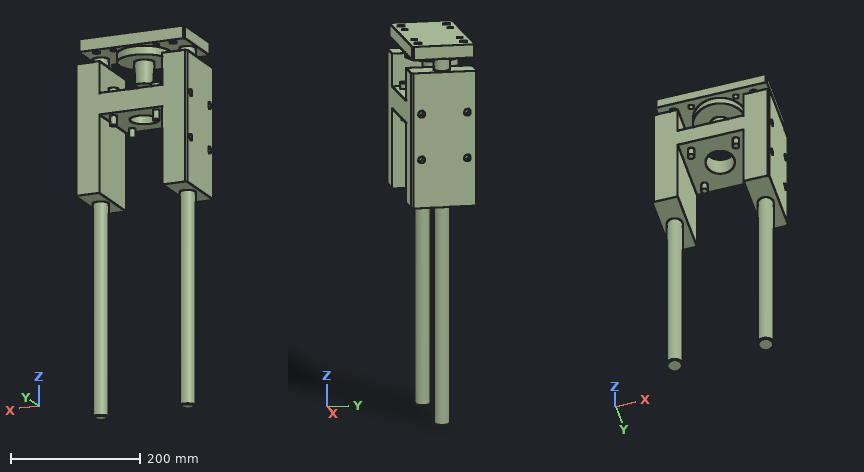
import cadquery as cq

TOP = 602.0

PATTERN_SPACING = 72.0

PLATE_X = 180.0
PLATE_Y = 100.0
PLATE_THICKNESS = 21.0
PLATE_CHAMFER = 2.5
PLATE_BOTTOM = TOP - PLATE_THICKNESS

OUTER_HOLE_SPACING = 129.5
OUTER_HOLE_DIAMETER = 11.0
INNER_HOLE_DIAMETER = 8.5

ROD_DIAMETER = 25.0
ROD_SPACING = 147.0
ROD_CHAMFER = 1.0
ROD_POSITIONS = (-ROD_SPACING / 2, ROD_SPACING / 2)

FLANGE_DIAMETER = 85.0
FLANGE_THICKNESS = 14.0
SPIGOT_DIAMETER = 32.0
SPIGOT_LENGTH = 38.0
TIP_DIAMETER = 28.0

HOUSING_X = 189.0
HOUSING_Y = 105.0
HOUSING_HEIGHT = 214.0
PLATE_TO_HOUSING = 20.0
HOUSING_CHAMFER = 3.0
HOUSING_TOP = PLATE_BOTTOM - PLATE_TO_HOUSING
HOUSING_BOTTOM = HOUSING_TOP - HOUSING_HEIGHT
LEG_GAP = 106.0
WEB_DEPTH = 52.0
WEB_THICKNESS = 35.0
WEB_TOP = HOUSING_TOP - WEB_DEPTH
WEB_BOTTOM = WEB_TOP - WEB_THICKNESS
WEB_BORE_DIAMETER = 45.0

HEAD_DIAMETER = 15.0
HEAD_HEIGHT = 9.0
SHANK_DIAMETER = 10.0
SHANK_LENGTH = 15.0

SIDE_HOLE_DIAMETER = 10.0
SIDE_HOLE_DEPTH = 15.0
SIDE_HOLE_TIP = 3.0
SIDE_PATTERN_DEPTH = 101.0
SIDE_PATTERN_Z = HOUSING_TOP - SIDE_PATTERN_DEPTH


def corners(x_spacing, y_spacing):
    return [(sx * x_spacing / 2, sy * y_spacing / 2) for sx in (-1, 1) for sy in (-1, 1)]


def cylinder(x, y, bottom, height, diameter):
    return cq.Workplane("XY", origin=(x, y, bottom)).circle(diameter / 2).extrude(height)


def chamfered_block(size_x, size_y, bottom, height, chamfer):
    block = cq.Workplane("XY", origin=(0, 0, bottom)).rect(size_x, size_y).extrude(height)
    return block.edges("|Z").chamfer(chamfer)


def make_coupling():
    """Flange and slightly tapered spigot, turned about Z."""
    flange_bottom = PLATE_BOTTOM - FLANGE_THICKNESS
    tip_bottom = flange_bottom - SPIGOT_LENGTH
    profile = cq.Workplane("XZ").polyline([
        (0, PLATE_BOTTOM),
        (FLANGE_DIAMETER / 2, PLATE_BOTTOM),
        (FLANGE_DIAMETER / 2, flange_bottom),
        (SPIGOT_DIAMETER / 2, flange_bottom),
        (TIP_DIAMETER / 2, tip_bottom),
        (0, tip_bottom),
    ]).close()
    return profile.revolve(360, (0, 0, 0), (0, 1, 0))


def make_carriage():
    body = chamfered_block(PLATE_X, PLATE_Y, PLATE_BOTTOM, PLATE_THICKNESS, PLATE_CHAMFER)
    for spacing, diameter in (
        (OUTER_HOLE_SPACING, OUTER_HOLE_DIAMETER),
        (PATTERN_SPACING, INNER_HOLE_DIAMETER),
    ):
        for x, y in corners(spacing, PATTERN_SPACING):
            body = body.cut(cylinder(x, y, PLATE_BOTTOM, PLATE_THICKNESS, diameter))

    for x in ROD_POSITIONS:
        rod = cylinder(x, 0, 0, PLATE_BOTTOM, ROD_DIAMETER).faces("<Z").chamfer(ROD_CHAMFER)
        body = body.union(rod)

    return body.union(make_coupling())


def side_hole(side, y, z):
    """Blind drilled hole with a conical end, entering the face at X = side * HOUSING_X / 2."""
    radius = SIDE_HOLE_DIAMETER / 2
    profile = cq.Workplane("XY").polyline([
        (0, 0),
        (0, radius),
        (SIDE_HOLE_DEPTH, radius),
        (SIDE_HOLE_DEPTH + SIDE_HOLE_TIP, 0),
    ]).close()
    drill = profile.revolve(360, (0, 0, 0), (1, 0, 0))
    if side > 0:
        drill = drill.rotate((0, 0, 0), (0, 0, 1), 180)
    return drill.translate((side * HOUSING_X / 2, y, z))


def make_housing():
    body = chamfered_block(HOUSING_X, HOUSING_Y, HOUSING_BOTTOM, HOUSING_HEIGHT, HOUSING_CHAMFER)

    for bottom, top in ((HOUSING_BOTTOM, WEB_BOTTOM), (WEB_TOP, HOUSING_TOP)):
        opening = cq.Workplane("XY", origin=(0, 0, bottom)).rect(LEG_GAP, HOUSING_Y).extrude(top - bottom)
        body = body.cut(opening)

    body = body.cut(cylinder(0, 0, WEB_BOTTOM, WEB_THICKNESS, WEB_BORE_DIAMETER))

    for x in ROD_POSITIONS:
        body = body.cut(cylinder(x, 0, HOUSING_BOTTOM, HOUSING_HEIGHT, ROD_DIAMETER))

    for side in (-1, 1):
        for y, dz in corners(PATTERN_SPACING, PATTERN_SPACING):
            body = body.cut(side_hole(side, y, SIDE_PATTERN_Z + dz))

    for x, y in corners(PATTERN_SPACING, PATTERN_SPACING):
        body = body.union(cylinder(x, y, WEB_TOP, HEAD_HEIGHT, HEAD_DIAMETER))
        body = body.union(cylinder(x, y, WEB_BOTTOM - SHANK_LENGTH, SHANK_LENGTH, SHANK_DIAMETER))
    return body


carriage = make_carriage()
housing = make_housing()
result = cq.Compound.makeCompound([carriage.val(), housing.val()])